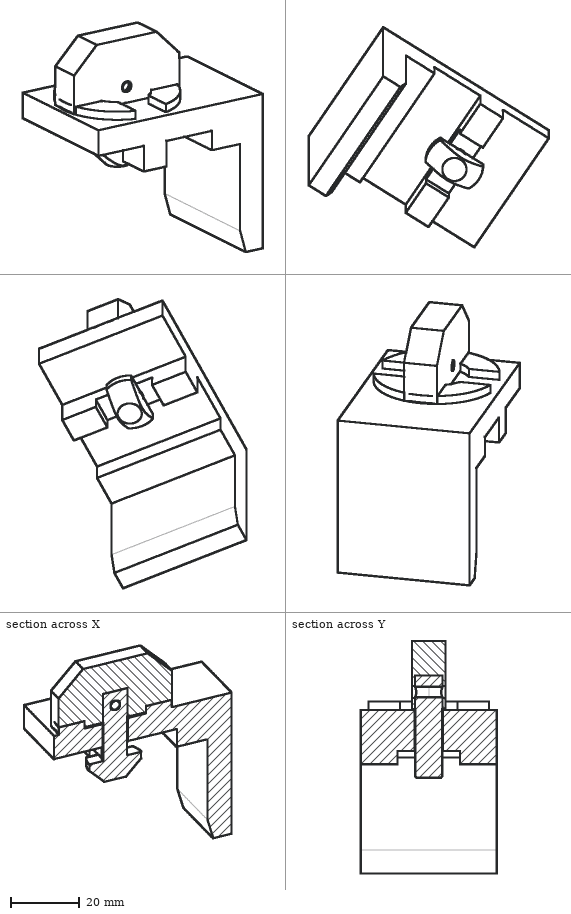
import cadquery as cq


width = 40.0
total_length = 58.0
total_height = 68.3
bracket_height = 48.0
thickness = 8.0
front_y = -20.0
back_y = front_y + total_length
step_y = 20.0
step_depth = 14.0
toe_thickness = 6.0
toe_height = 7.0
lug_depth = 2 * thickness
notch_width = 18.25
notch_top_depth = 12.1
shaft_hole_diameter = 8.2

ring_radius = 18.5
ring_inner_radius = 10.0
ring_height = 2.5
ring_slot_width = 10.65

handle_length = 37.1
handle_width = 10.0
handle_chamfer = 8.0
handle_gap = 0.3
handle_top = total_height - bracket_height

shaft_diameter = 8.0
shaft_top = 10.0
head_radius = 8.55
head_top_depth = 12.6
head_bottom_depth = 19.9
head_chamfer = 5.0

pin_diameter = 3.0
pin_bore_diameter = 2.7
handle_hole_diameter = 3.3
pin_height = 5.25


def cylinder(diameter, bottom, top):
    """Cylinder on the shaft axis."""
    return cq.Workplane("XY").workplane(offset=bottom).circle(diameter / 2).extrude(top - bottom)


def extrude_side_profile(points, profile_width):
    """Extrude a closed (Y, Z) outline symmetrically along X."""
    return cq.Workplane("YZ").polyline(points).close().extrude(profile_width / 2, both=True)


def cross_cylinder(diameter):
    """Cylinder along X through the full handle width, at the height of the pin."""
    return (
        cq.Workplane("YZ")
        .center(0, pin_height)
        .circle(diameter / 2)
        .extrude(handle_width / 2, both=True)
    )


def make_ring(bottom=0):
    """Two facing ring segments; a negative bottom extends them downwards."""
    ring = cylinder(2 * ring_radius, bottom, ring_height)
    ring = ring.cut(cylinder(2 * ring_inner_radius, bottom, ring_height))
    slot = cq.Workplane("XY").box(2 * ring_radius, ring_slot_width, 4 * ring_height)
    return ring.cut(slot)


def make_bracket():
    wall_y = back_y - thickness
    lug_y = thickness / 2
    outline = [
        (front_y, 0),
        (back_y, 0),
        (back_y, -bracket_height),
        (back_y - toe_thickness, -bracket_height),
        (wall_y, -bracket_height + toe_height),
        (wall_y, -step_depth),
        (step_y, -step_depth),
        (step_y, -thickness),
        (lug_y, -thickness),
        (lug_y, -lug_depth),
        (-lug_y, -lug_depth),
        (-lug_y, -thickness),
        (front_y, -thickness),
    ]
    body = extrude_side_profile(outline, width)
    notch_height = lug_depth - notch_top_depth
    notch = (
        cq.Workplane("XY")
        .box(notch_width, thickness, notch_height)
        .translate((0, 0, -lug_depth + notch_height / 2))
    )
    return body.cut(notch).union(make_ring()).cut(cylinder(shaft_hole_diameter, -lug_depth, 0))


def make_handle():
    half_length = handle_length / 2
    outline = [
        (-half_length, handle_gap),
        (half_length, handle_gap),
        (half_length, handle_top - handle_chamfer),
        (half_length - handle_chamfer, handle_top),
        (-half_length + handle_chamfer, handle_top),
        (-half_length, handle_top - handle_chamfer),
    ]
    body = extrude_side_profile(outline, handle_width)
    body = body.cut(make_ring(bottom=-ring_height))
    body = body.cut(cylinder(shaft_diameter, 0, shaft_top))
    return body.cut(cross_cylinder(handle_hole_diameter))


def make_shaft():
    head = (
        cylinder(2 * head_radius, -head_bottom_depth, -head_top_depth)
        .faces("<Z")
        .chamfer(head_chamfer)
    )
    flats = cq.Workplane("XY").box(thickness, 2 * head_radius, 2 * head_bottom_depth)
    shaft = cylinder(shaft_diameter, -head_top_depth, shaft_top)
    return head.intersect(flats).union(shaft).cut(cross_cylinder(pin_diameter))


def make_pin():
    return cross_cylinder(pin_diameter).cut(cross_cylinder(pin_bore_diameter))


bracket = make_bracket()
handle = make_handle()
shaft = make_shaft()
pin = make_pin()

result = cq.Compound.makeCompound([bracket.val(), handle.val(), shaft.val(), pin.val()])